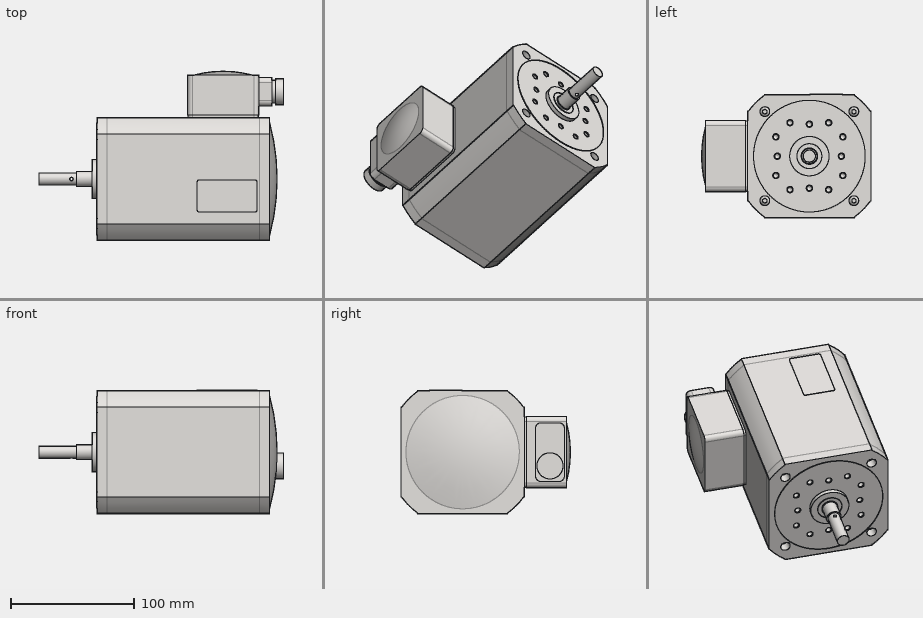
import cadquery as cq
import math


BODY_LENGTH = 140.0
BODY_SIDE = 100.0
CORNER_RADIUS = 61.5
FLAT_WIDTH = 73.0
END_PLATE = 8.1

PILOT_DIA = 90.7
PILOT_HEIGHT = 0.5
BOSS_DIA = 32.0
BOSS_FACE = 4.2
SEAL_DIA = 20.2
SEAL_DEPTH = 0.5
COLLAR_DIA = 13.3

SHAFT_REACH = 47.2
SHAFT_DIA = 10.0
SHOULDER_DIA = 12.3
SHOULDER_REACH = 16.9
PIN_HOLE_DIA = 2.5
PIN_HOLE_FROM_TIP = 26.4

TAP_CIRCLES = [
    (26.0, (0, 90, 180, 270)),
    (31.4, (30, 60, 120, 150, 210, 240, 300, 330)),
]
TAP_DRILL_DIA = 4.2
TAP_MOUTH_DIA = 5.2
TAP_DEPTH = 10.0
TAP_TIP_SLOPE = 30

SCREW_OFFSET = 36.1
SCREW_DIA = 8.0
SCREW_POCKET_DEPTH = 8.3
SCREW_HEAD_RISE = 2.4
SOCKET_SIDES = 6
SOCKET_DIA = 4.0
SOCKET_DEPTH = 2.8

REAR_DOME_DIA = 92.1
REAR_DOME_HEIGHT = 6.2

PLATE_LENGTH = 48.5
PLATE_WIDTH = 26.2
PLATE_HEIGHT = 0.4
PLATE_CORNER = 1.5
PLATE_X = 105.5
PLATE_Y = -13.7

BOX_SIDE = 58.0
BOX_X = 102.2
BOX_CORNER = 4.0
BOX_HEIGHT = 32.5
GASKET_HEIGHT = 1.8
GASKET_INSET = 0.4
BOX_DOME_DIA = 47.6
BOX_DOME_HEIGHT = 3.2

CONNECTOR_Y = 70.9
CONNECTOR_BLOCK = 10.5
CONNECTOR_WIDTH = 23.5
CONNECTOR_HEIGHT = 47.6
CONNECTOR_CORNER = 4.4
GLAND_Z = -11.1
NECK_DIA = 18.7
NECK_LENGTH = 3.2
NUT_DIA = 21.2
NUT_LENGTH = 6.4

OVERLAP = 2.0
HALF_SIDE = BODY_SIDE / 2


def x_cylinder(dia, x_start, x_end, y=0.0, z=0.0):
    """Cylinder along X between two X positions."""
    return cq.Workplane("YZ", origin=(x_start, y, z)).circle(dia / 2).extrude(x_end - x_start)


def x_box(x_start, x_end, y_size, z_size):
    """Block along X, centred on the shaft axis."""
    return cq.Workplane("YZ", origin=(x_start, 0, 0)).rect(y_size, z_size).extrude(x_end - x_start)


def dome(dia, height):
    """Spherical cap standing on Z = 0, with a short cylinder below to join it to a face."""
    sphere_radius = ((dia / 2) ** 2 + height ** 2) / (2 * height)
    half_angle = math.asin(dia / 2 / sphere_radius) / 2
    mid_height = height - sphere_radius * (1 - math.cos(half_angle))
    return (
        cq.Workplane("XZ")
        .moveTo(0, -OVERLAP)
        .lineTo(dia / 2, -OVERLAP)
        .lineTo(dia / 2, 0)
        .threePointArc((sphere_radius * math.sin(half_angle), mid_height), (0, height))
        .close()
        .revolve(360, (0, 0), (0, 1))
    )


def body_section(x_start, x_end):
    """Length of body: square with flats, its corner arcs set slightly below the flats."""
    rounded = x_box(x_start, x_end, BODY_SIDE, BODY_SIDE).intersect(
        x_cylinder(2 * CORNER_RADIUS, x_start, x_end)
    )
    tall = x_box(x_start, x_end, FLAT_WIDTH, BODY_SIDE)
    wide = x_box(x_start, x_end, BODY_SIDE, FLAT_WIDTH)
    return rounded.union(tall).union(wide)


def housing():
    """Body in three lengths, so the seams of the two end plates stay as edges."""
    front = body_section(0, END_PLATE)
    middle = body_section(END_PLATE, BODY_LENGTH - END_PLATE)
    rear = body_section(BODY_LENGTH - END_PLATE, BODY_LENGTH)
    rear_dome = dome(REAR_DOME_DIA, REAR_DOME_HEIGHT).rotate((0, 0, 0), (0, 1, 0), 90)
    rear_dome = rear_dome.translate((BODY_LENGTH, 0, 0))
    pilot = x_cylinder(PILOT_DIA, -PILOT_HEIGHT, OVERLAP)
    boss = x_cylinder(BOSS_DIA, -BOSS_FACE, OVERLAP)
    seal_recess = x_cylinder(SEAL_DIA, -BOSS_FACE, SEAL_DEPTH - BOSS_FACE)
    boss = boss.cut(seal_recess)
    solid = front.union(middle, clean=False).union(rear, clean=False)
    for piece in (rear_dome, pilot, boss):
        solid = solid.union(piece, clean=False)
    return solid


def shaft():
    """Stepped shaft with a collar at the seal and a cross hole along Z."""
    collar = x_cylinder(COLLAR_DIA, -BOSS_FACE, OVERLAP)
    shoulder = x_cylinder(SHOULDER_DIA, -SHOULDER_REACH, OVERLAP)
    journal = x_cylinder(SHAFT_DIA, -SHAFT_REACH, OVERLAP)
    pin_hole = (
        cq.Workplane("XY", origin=(PIN_HOLE_FROM_TIP - SHAFT_REACH, 0, 0))
        .circle(PIN_HOLE_DIA / 2)
        .extrude(SHAFT_DIA, both=True)
    )
    return collar.union(shoulder).union(journal).cut(pin_hole)


def tapped_hole(y, z):
    """Cutter for a drilled hole with a bevelled mouth and a conical bottom."""
    drill = TAP_DRILL_DIA / 2
    mouth = TAP_MOUTH_DIA / 2
    face = -PILOT_HEIGHT
    bevel_end = face + mouth - drill
    tip = TAP_DEPTH + drill * math.tan(math.radians(TAP_TIP_SLOPE))
    return (
        cq.Workplane("XY")
        .polyline([(face, 0), (face, mouth), (bevel_end, drill), (TAP_DEPTH, drill), (tip, 0)])
        .close()
        .revolve(360, (0, 0), (1, 0))
        .translate((0, y, z))
    )


def screw_head(y, z):
    """Button head with a hex socket, at the bottom of its counterbore."""
    head = dome(SCREW_DIA, SCREW_HEAD_RISE)
    socket = (
        cq.Workplane("XY", origin=(0, 0, SCREW_HEAD_RISE - SOCKET_DEPTH))
        .polygon(SOCKET_SIDES, SOCKET_DIA)
        .extrude(SOCKET_DEPTH)
    )
    return head.cut(socket).rotate((0, 0, 0), (0, 1, 0), -90).translate((SCREW_POCKET_DEPTH, y, z))


def name_plate():
    """Thin raised plate with rounded corners on the top face."""
    return (
        cq.Workplane("XY", origin=(PLATE_X, PLATE_Y, HALF_SIDE - OVERLAP))
        .rect(PLATE_LENGTH, PLATE_WIDTH)
        .extrude(PLATE_HEIGHT + OVERLAP)
        .edges("|Z")
        .fillet(PLATE_CORNER)
    )


def rounded_post(side, corner, y_start, y_end):
    """Square post along Y with rounded corners, at the terminal box position."""
    return (
        cq.Workplane("XZ", origin=(BOX_X, y_start, 0))
        .rect(side, side)
        .extrude(y_start - y_end)
        .edges("|Y")
        .fillet(corner)
    )


def terminal_box():
    """Box on a slightly smaller gasket, with a domed lid."""
    box_foot = HALF_SIDE + GASKET_HEIGHT
    box_top = box_foot + BOX_HEIGHT
    gasket = rounded_post(
        BOX_SIDE - 2 * GASKET_INSET, BOX_CORNER - GASKET_INSET, HALF_SIDE - OVERLAP, box_foot
    )
    box = rounded_post(BOX_SIDE, BOX_CORNER, box_foot, box_top)
    lid = dome(BOX_DOME_DIA, BOX_DOME_HEIGHT).rotate((0, 0, 0), (1, 0, 0), -90)
    return gasket.union(box).union(lid.translate((BOX_X, box_top, 0)))


def connector():
    """Rounded block on the side of the box, with a round neck and nut."""
    block_start = BOX_X + BOX_SIDE / 2
    block_end = block_start + CONNECTOR_BLOCK
    neck_end = block_end + NECK_LENGTH
    block = (
        cq.Workplane("YZ", origin=(block_start - OVERLAP, CONNECTOR_Y, 0))
        .rect(CONNECTOR_WIDTH, CONNECTOR_HEIGHT)
        .extrude(CONNECTOR_BLOCK + OVERLAP)
        .edges("|X")
        .fillet(CONNECTOR_CORNER)
    )
    neck = x_cylinder(NECK_DIA, block_end - OVERLAP, neck_end, CONNECTOR_Y, GLAND_Z)
    nut = x_cylinder(NUT_DIA, neck_end, neck_end + NUT_LENGTH, CONNECTOR_Y, GLAND_Z)
    return block.union(neck).union(nut)


motor = housing()
for piece in (shaft(), name_plate(), terminal_box(), connector()):
    motor = motor.union(piece, clean=False)

for radius, angles in TAP_CIRCLES:
    for angle in angles:
        turn = math.radians(angle)
        motor = motor.cut(tapped_hole(radius * math.cos(turn), radius * math.sin(turn)), clean=False)

for y in (-SCREW_OFFSET, SCREW_OFFSET):
    for z in (-SCREW_OFFSET, SCREW_OFFSET):
        motor = motor.cut(x_cylinder(SCREW_DIA, 0, SCREW_POCKET_DEPTH, y, z), clean=False)
        motor = motor.union(screw_head(y, z), clean=False)

result = motor